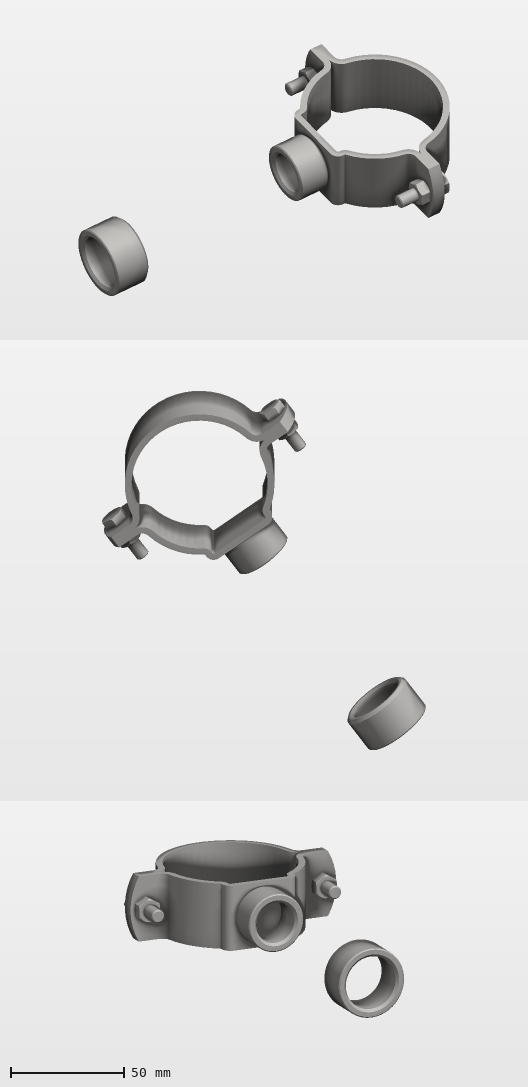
import cadquery as cq
import math

band_width = 30.0
band_thickness = 3.0
band_inner_radius = 30.0
band_outer_radius = band_inner_radius + band_thickness

ear_reach = 50.0
ear_tip_radius = 30.0
ear_bend_radius = 4.0

pad_half_width = 13.5
pad_bend_inner = 1.0
pad_bend_outer = pad_bend_inner + band_thickness
pad_outer_y = -band_outer_radius
jog_bend_inner = 1.0
jog_bend_outer = jog_bend_inner + band_thickness

bolt_x = 43.0
bolt_diameter = 6.0
bolt_length = 20.0
bolt_tip_chamfer = 0.5
hex_across_flats = 10.0
hex_across_corners = hex_across_flats / math.cos(math.radians(30))
head_height = 4.0
nut_height = 5.0
head_bevel_radius = 5.17
head_bevel_height = 0.4
nut_bevel_radius = 5.0
nut_bevel_height = 0.5
left_head_turn = 0.0
right_head_turn = 30.0
nut_turn = 30.0

socket_length = 15.0
socket_radius = 13.25
socket_bore_radius = 9.3
socket_bore_chamfer = 1.2
socket_root_chamfer = 1.5
socket_end_chamfer = 0.5

sleeve_far_y = -148.0
sleeve_length = 17.0
sleeve_radius = 15.9
sleeve_bore_radius = 12.06
sleeve_bore_chamfer = 1.2
sleeve_root_chamfer = 1.5
sleeve_end_chamfer = 0.5


def polar(center, radius, degrees):
    """Point on a circle about center."""
    angle = math.radians(degrees)
    return (center[0] + radius * math.cos(angle), center[1] + radius * math.sin(angle))


def direction(start, end):
    """Direction from start to end, in degrees."""
    return math.degrees(math.atan2(end[1] - start[1], end[0] - start[0]))


axis = (0.0, 0.0)

ear_bend_y = band_thickness + ear_bend_radius
ear_bend_x = math.sqrt((band_outer_radius + ear_bend_radius) ** 2 - ear_bend_y ** 2)
ear_bend_center = (ear_bend_x, ear_bend_y)
ear_bend_angle = direction(axis, ear_bend_center)
ear_bend_outer = ear_bend_radius + band_thickness

pad_bend_center = (pad_half_width, pad_outer_y + pad_bend_outer)
jog_x = pad_half_width + pad_bend_outer + jog_bend_inner
jog_y = -math.sqrt((band_outer_radius + jog_bend_inner) ** 2 - jog_x ** 2)
jog_center = (jog_x, jog_y)
jog_angle = direction(axis, jog_center)


def arc(sketch, center, radius, start, end):
    """Add an arc about center, from the start angle to the end angle."""
    middle = polar(center, radius, (start + end) / 2)
    return sketch.threePointArc(middle, polar(center, radius, end))


def ear_shape():
    """Both ears as one XZ outline with rounded tips, long enough in Y for the whole clamp."""
    half_width = band_width / 2
    corner_x = ear_reach - ear_tip_radius + math.sqrt(ear_tip_radius ** 2 - half_width ** 2)
    return (
        cq.Workplane("XZ")
        .moveTo(-corner_x, -half_width)
        .lineTo(corner_x, -half_width)
        .threePointArc((ear_reach, 0), (corner_x, half_width))
        .lineTo(-corner_x, half_width)
        .threePointArc((-ear_reach, 0), (-corner_x, -half_width))
        .close()
        .extrude(2 * band_outer_radius, both=True)
    )


def bolt_holes():
    """Cylinders through both ears on the bolt axes."""
    return (
        cq.Workplane("XZ")
        .pushPoints([(-bolt_x, 0), (bolt_x, 0)])
        .circle(bolt_diameter / 2)
        .extrude(2 * band_thickness, both=True)
    )


def band_from_profile(profile):
    """Extrude a band profile to full width, round the ear tips and drill the ears."""
    band = profile.extrude(band_width / 2, both=True)
    return band.intersect(ear_shape()).cut(bolt_holes())


def upper_half():
    """Plain half band with an ear at each end."""
    turn = ear_bend_angle
    s = cq.Workplane("XY").moveTo(ear_reach, 0).lineTo(ear_reach, band_thickness)
    s = s.lineTo(ear_bend_x, band_thickness)
    s = arc(s, ear_bend_center, ear_bend_radius, 270, 180 + turn)
    s = arc(s, axis, band_outer_radius, turn, 180 - turn)
    s = arc(s, (-ear_bend_x, ear_bend_y), ear_bend_radius, -turn, -90)
    s = s.lineTo(-ear_reach, band_thickness).lineTo(-ear_reach, 0).lineTo(-ear_bend_x, 0)
    s = arc(s, (-ear_bend_x, ear_bend_y), ear_bend_outer, -90, -turn)
    s = arc(s, axis, band_inner_radius, 180 - turn, turn)
    s = arc(s, ear_bend_center, ear_bend_outer, 180 + turn, 270)
    return band_from_profile(s.close())


def lower_half():
    """Half band with an ear at each end and a flat pad joined by jogged bends."""
    turn = ear_bend_angle
    ear_center = (ear_bend_x, -ear_bend_y)
    jog_end = jog_angle + 180

    s = cq.Workplane("XY").moveTo(0, pad_outer_y + band_thickness)
    s = s.lineTo(pad_half_width, pad_outer_y + band_thickness)
    s = arc(s, pad_bend_center, pad_bend_inner, -90, 0)
    s = s.lineTo(jog_x - jog_bend_outer, jog_y)
    s = arc(s, jog_center, jog_bend_outer, 180, jog_end)
    s = arc(s, axis, band_inner_radius, jog_angle, -turn)
    s = arc(s, ear_center, ear_bend_outer, 180 - turn, 90)
    s = s.lineTo(ear_reach, 0).lineTo(ear_reach, -band_thickness).lineTo(ear_bend_x, -band_thickness)
    s = arc(s, ear_center, ear_bend_radius, 90, 180 - turn)
    s = arc(s, axis, band_outer_radius, -turn, jog_angle)
    s = arc(s, jog_center, jog_bend_inner, jog_end, 180)
    s = s.lineTo(pad_half_width + pad_bend_outer, pad_bend_center[1])
    s = arc(s, pad_bend_center, pad_bend_outer, 0, -90)
    s = s.lineTo(0, pad_outer_y).mirrorY()
    return band_from_profile(s)


def hex_block(height, turn, bevel_radius, bevel_height):
    """Hexagonal prism from Y = 0 towards +Y, with bevelled corners at its free end."""
    prism = (
        cq.Workplane("XZ")
        .transformed(rotate=(0, 0, turn))
        .polygon(6, hex_across_corners)
        .extrude(-height)
    )
    corner_radius = hex_across_corners / 2
    envelope = (
        cq.Workplane("XY")
        .moveTo(0, 0)
        .lineTo(corner_radius, 0)
        .lineTo(corner_radius, height - bevel_height)
        .lineTo(bevel_radius, height)
        .lineTo(0, height)
        .close()
        .revolve(360, (0, 0), (0, 1))
    )
    return prism.intersect(envelope)


def bolt(x, turn):
    """Hex bolt with its head on the upper ear and its tip towards -Y."""
    shank = (
        cq.Workplane("XZ")
        .circle(bolt_diameter / 2)
        .extrude(bolt_length)
        .faces("<Y")
        .chamfer(bolt_tip_chamfer)
    )
    head = hex_block(head_height, turn, head_bevel_radius, head_bevel_height)
    return head.union(shank).translate((x, band_thickness, 0))


def nut(x):
    """Hex nut against the lower ear, bevelled at both ends."""
    bore = cq.Workplane("XZ").circle(bolt_diameter / 2).extrude(-nut_height)
    block = hex_block(nut_height, nut_turn, nut_bevel_radius, nut_bevel_height)
    reversed_block = block.mirror("XZ").translate((0, nut_height, 0))
    return block.intersect(reversed_block).cut(bore).translate((x, -band_thickness - nut_height, 0))


def tube(root_y, length, radius, bore_radius, root_chamfer, end_chamfer, bore_chamfer):
    """Tube along Y from its root at root_y towards -Y, with chamfered edges."""
    end_y = root_y - length
    return (
        cq.Workplane("XY")
        .moveTo(bore_radius, root_y)
        .lineTo(radius - root_chamfer, root_y)
        .lineTo(radius, root_y - root_chamfer)
        .lineTo(radius, end_y + end_chamfer)
        .lineTo(radius - end_chamfer, end_y)
        .lineTo(bore_radius + bore_chamfer, end_y)
        .lineTo(bore_radius, end_y + bore_chamfer)
        .close()
        .revolve(360, (0, 0), (0, 1))
    )


upper_clamp = upper_half()
lower_clamp = lower_half()
bolts = [bolt(-bolt_x, left_head_turn), bolt(bolt_x, right_head_turn)]
nuts = [nut(x) for x in (-bolt_x, bolt_x)]
socket = tube(
    pad_outer_y, socket_length, socket_radius, socket_bore_radius,
    socket_root_chamfer, socket_end_chamfer, socket_bore_chamfer,
)
sleeve = tube(
    sleeve_far_y + sleeve_length, sleeve_length, sleeve_radius, sleeve_bore_radius,
    sleeve_root_chamfer, sleeve_end_chamfer, sleeve_bore_chamfer,
)
sleeve_root_bore = sleeve.faces(">Y").edges(cq.selectors.RadiusNthSelector(0))
sleeve = sleeve_root_bore.chamfer(sleeve_bore_chamfer)

fasteners = [body.val() for body in bolts + nuts]
result = cq.Compound.makeCompound(
    [upper_clamp.val(), lower_clamp.val(), *fasteners, socket.val(), sleeve.val()]
)